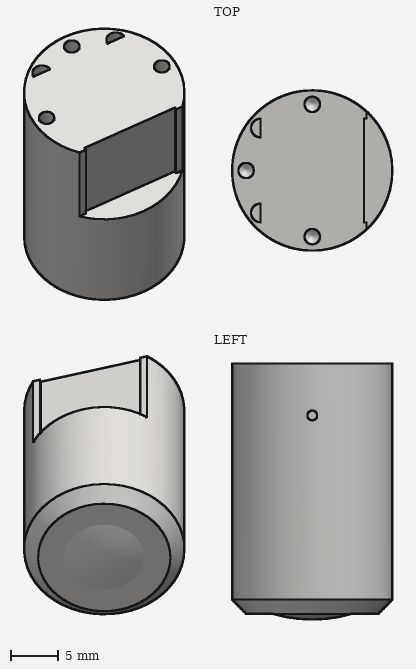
import cadquery as cq
import math

total_height = 27.15
body_radius = 8.5
chamfer = 1.5

lens_height = 0.62
lens_radius = 4.24

step_z = 16.1
cheek_x = 5.75
block_side = 10.97
block_half = block_side / 2

relief_radius = 0.99

drill_radius = 0.81
drill_pitch_radius = 7.0
drill_depth = 4.0
drill_tip_angle = 118

cross_radius = 0.52
cross_z = (step_z + total_height) / 2


def make_body():
    """Chamfered cylinder with the domed lens, revolved about Z."""
    sphere_radius = (lens_radius**2 + lens_height**2) / (2 * lens_height)
    half_angle = math.asin(lens_radius / sphere_radius) / 2
    arc_middle = (
        sphere_radius * math.sin(half_angle),
        sphere_radius * (1 - math.cos(half_angle)),
    )
    return (
        cq.Workplane("XZ")
        .moveTo(0, 0)
        .threePointArc(arc_middle, (lens_radius, lens_height))
        .lineTo(body_radius - chamfer, lens_height)
        .lineTo(body_radius, lens_height + chamfer)
        .lineTo(body_radius, total_height)
        .lineTo(0, total_height)
        .close()
        .revolve(360, (0, 0, 0), (0, 1, 0))
    )


def upright_box(x_start, x_end, width):
    """Box from the step level to the top face, centred on Y."""
    return cq.Workplane("XY").box(
        x_end - x_start, width, total_height - step_z, centered=(False, True, False)
    ).translate((x_start, 0, step_z))


def make_block():
    return upright_box(-block_half, block_half, block_side)


def make_step():
    """Material removed outside the cheeks and in front of the block."""
    beyond_cheeks = upright_box(cheek_x, 2 * body_radius, 2 * body_radius)
    front_gap = upright_box(block_half, 2 * body_radius, block_side)
    return beyond_cheeks.union(front_gap)


def make_reliefs():
    relief_y = block_half - relief_radius
    return (
        cq.Workplane("XY", origin=(0, 0, step_z))
        .pushPoints([(-block_half, -relief_y), (-block_half, relief_y)])
        .circle(relief_radius)
        .extrude(total_height - step_z)
        .cut(make_block())
    )


def make_drilled_hole(angle):
    """Blind hole with a conical tip, placed at an angle in degrees about Z."""
    tip_height = drill_radius / math.tan(math.radians(drill_tip_angle / 2))
    shoulder_z = total_height - drill_depth
    return (
        cq.Workplane("XZ")
        .moveTo(0, total_height)
        .lineTo(drill_radius, total_height)
        .lineTo(drill_radius, shoulder_z)
        .lineTo(0, shoulder_z - tip_height)
        .close()
        .revolve(360, (0, 0, 0), (0, 1, 0))
        .translate((drill_pitch_radius, 0, 0))
        .rotate((0, 0, 0), (0, 0, 1), angle)
    )


def make_cross_hole():
    return (
        cq.Workplane("YZ", origin=(-body_radius, 0, cross_z))
        .circle(cross_radius)
        .extrude(body_radius - block_half)
    )


result = make_body().cut(make_step()).cut(make_reliefs())
for hole_angle in (90, 180, 270):
    result = result.cut(make_drilled_hole(hole_angle))
result = result.cut(make_cross_hole())